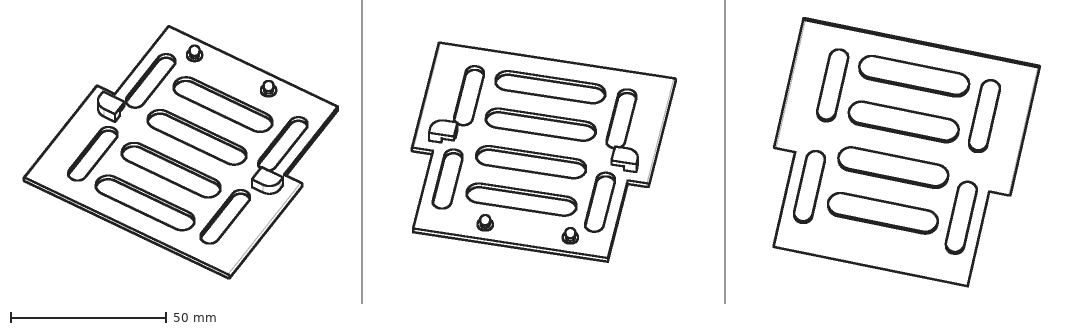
import cadquery as cq

plate_width = 78.0
plate_depth = 78.0
plate_thickness = 1.95
rear_width = 64.0
front_depth = 44.85
overall_height = 5.9
side_fillet = 0.6

cross_slot_length = 36.0
cross_slot_width = 8.0
cross_slot_pitch = 16.0
cross_slot_count = 4
first_cross_slot_y = 11.4

side_slot_length = 25.0
side_slot_width = 6.0
side_slot_offset = 25.0
side_slot_rows = (20.0, 55.5)

block_length = 8.2
block_depth = 6.0
block_radius = 4.0
block_outer_offset = 34.1
block_rear_y = 40.95
undercut_length = block_length / 2
undercut_depth = 2.8
undercut_height = 1.95

peg_spacing = 28.0
peg_midpoint_x = -4.5
peg_rear_margin = 6.0
collar_diameter = 5.0
collar_height = 0.2
shank_diameter = 3.0
ball_diameter = 3.35


def make_plate():
    """Plate with its front edge at Y = 0 and its outer side edges rounded."""
    front = (
        cq.Workplane("XY")
        .box(plate_width, front_depth, plate_thickness, centered=(True, False, False))
        .faces("<X or >X")
        .edges("|Y")
        .fillet(side_fillet)
    )
    rear = cq.Workplane("XY").box(
        rear_width, plate_depth, plate_thickness, centered=(True, False, False)
    )
    return front.union(rear)


def make_slots(centres, length, width, angle):
    """Through-plate cutters with rounded ends."""
    return (
        cq.Workplane("XY")
        .pushPoints(centres)
        .slot2D(length, width, angle)
        .extrude(plate_thickness)
    )


def make_block(side):
    """Undercut block with a rounded front outer corner; side is -1 for left, 1 for right."""
    inner_x = block_outer_offset - block_length
    front_y = block_rear_y - block_depth
    block = (
        cq.Workplane("XY")
        .box(block_length, block_depth, overall_height, centered=False)
        .edges("|Z and <Y and >X")
        .fillet(block_radius)
        .translate((inner_x, front_y, 0))
    )
    undercut = (
        cq.Workplane("XY")
        .box(undercut_length, undercut_depth, undercut_height, centered=False)
        .translate((inner_x, block_rear_y - undercut_depth, plate_thickness))
    )
    right_block = block.cut(undercut)
    return right_block if side > 0 else right_block.mirror("YZ")


def make_peg(side):
    """Collar, shank and ball reaching the overall height; side is -1 for left, 1 for right."""
    ball_centre_z = overall_height - ball_diameter / 2
    collar = cq.Workplane("XY").circle(collar_diameter / 2).extrude(plate_thickness + collar_height)
    shank = cq.Workplane("XY").circle(shank_diameter / 2).extrude(ball_centre_z)
    ball = cq.Workplane("XY").sphere(ball_diameter / 2).translate((0, 0, ball_centre_z))
    peg = collar.union(shank).union(ball)
    return peg.translate((peg_midpoint_x + side * peg_spacing / 2, plate_depth - peg_rear_margin, 0))


cross_slot_centres = [
    (0, first_cross_slot_y + row * cross_slot_pitch) for row in range(cross_slot_count)
]
side_slot_centres = [
    (side * side_slot_offset, y) for side in (-1, 1) for y in side_slot_rows
]

result = make_plate()
result = result.cut(make_slots(cross_slot_centres, cross_slot_length, cross_slot_width, 0))
result = result.cut(make_slots(side_slot_centres, side_slot_length, side_slot_width, 90))
for side in (-1, 1):
    result = result.union(make_block(side))
    result = result.union(make_peg(side))